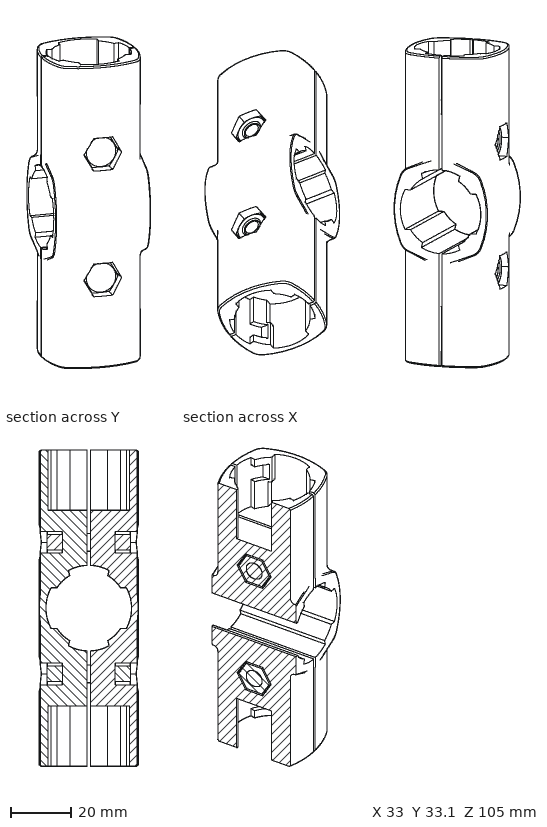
import cadquery as cq
import math


TUBE_LENGTH = 105.0
WIDTH = 33.0
BRANCH_LENGTH = 33.1
SPLIT_GAP = 1.0
TUBE_CHAMFER = 0.5
BRANCH_CHAMFER = 0.3

SIDE_RADIUS = 30.0
CORNER_RADIUS = 5.0
SEAM_FILLET = 2.0

BORE_RADIUS = 14.2
RIB_RADIUS = 12.5
RIB_SIDE = 6.7
RIB_TOE = 6.3
SOCKET_DEPTH = 20.0

WINDOW_TOP = 2.9
WINDOW_BOTTOM = 8.9
WINDOW_WALL = 10.1
STEP_TOP = 10.0
STEP_WIDTH = 1.0

BOLT_HEIGHT = 21.8
BOLT_DIAMETER = 6.0
TIP_CHAMFER = 0.5
TIP_SINK = 0.3
HEX_FLATS = 10.5
HEX_THICKNESS = 5.0
HEX_FACE_DIAMETER = 10.2
BEVEL_ANGLE = 30.0
NUT_SINK_DIAMETER = 6.9
POCKET_FLATS = 11.3
HEX_SINK = 2.6

CROWN = WIDTH / 2
TUBE_END = TUBE_LENGTH / 2
HEX_FACE = CROWN - HEX_SINK
HEX_SEAT = HEX_FACE - HEX_THICKNESS
BOLT_LEVELS = [BOLT_HEIGHT, -BOLT_HEIGHT]
COS_30 = math.cos(math.pi / 6)
SEAM_TOLERANCE = 0.001


def quarter_turns(point):
    """The point turned clockwise about the origin into all four quarters."""
    x, y = point
    return [(x, y), (y, -x), (-x, -y), (-y, x)]


def outer_prism(plane, length):
    """Prism with four crowned sides joined by tangent corner arcs, centred on the plane."""
    side_centre = CROWN - SIDE_RADIUS
    centre_distance = SIDE_RADIUS - CORNER_RADIUS
    corner_centre = (side_centre + math.sqrt(2 * centre_distance**2 - side_centre**2)) / 2
    angle = math.atan2(corner_centre, corner_centre - side_centre)
    tangent_x = SIDE_RADIUS * math.sin(angle)
    tangent_y = side_centre + SIDE_RADIUS * math.cos(angle)
    corner_middle = corner_centre + CORNER_RADIUS * math.sqrt(0.5)

    crowns = quarter_turns((0, CROWN))
    side_ends = quarter_turns((tangent_x, tangent_y))
    corners = quarter_turns((corner_middle, corner_middle))
    corner_ends = quarter_turns((tangent_y, tangent_x))

    outline = cq.Workplane(plane).moveTo(-tangent_x, tangent_y)
    for crown, side_end, corner, corner_end in zip(crowns, side_ends, corners, corner_ends):
        outline = outline.threePointArc(crown, side_end).threePointArc(corner, corner_end)
    return outline.close().extrude(length / 2, both=True)


def is_seam(edge):
    """True for an edge along which the tube and branch surfaces cross."""
    points = [edge.positionAt(t) for t in (0.1, 0.5, 0.9)]
    return all(abs(abs(p.y) - abs(p.z)) < SEAM_TOLERANCE < abs(p.y) for p in points)


def outer_cross():
    """Solid tube and branch with filleted seams and chamfered ends."""
    branch = outer_prism("XZ", BRANCH_LENGTH + 4 * SEAM_FILLET)
    cross = outer_prism("XY", TUBE_LENGTH).union(branch)
    seams = [edge for edge in cross.edges().vals() if is_seam(edge)]
    cross = cross.newObject(seams).fillet(SEAM_FILLET)
    cross = cross.intersect(cq.Workplane().box(2 * WIDTH, BRANCH_LENGTH, TUBE_LENGTH))
    cross = cross.faces("<Z or >Z").chamfer(TUBE_CHAMFER)
    return cross.faces("<Y or >Y").chamfer(BRANCH_CHAMFER)


def ribbed_bore(plane, length):
    """Bore core with the four diagonal ribs left out of it, rising from the plane."""
    toe_height = math.sqrt(RIB_RADIUS**2 - RIB_TOE**2)
    root_height = math.sqrt(BORE_RADIUS**2 - RIB_SIDE**2)
    flank = [(RIB_TOE, toe_height), (RIB_SIDE, root_height), (RIB_SIDE, BORE_RADIUS)]
    right_side = [(x, -y) for x, y in reversed(flank)] + flank
    left_side = [(-x, -y) for x, y in right_side]

    channels = plane.polyline(right_side + left_side).close().extrude(length)
    channels = channels.union(plane.rect(2 * BORE_RADIUS, 2 * RIB_SIDE).extrude(length))
    full_bore = plane.circle(BORE_RADIUS).extrude(length)
    core = plane.circle(RIB_RADIUS).extrude(length)
    return full_bore.intersect(channels).union(core)


def socket():
    """Blind ribbed bore in the upper tube end, with the lock in its +X +Y rib."""
    floor = TUBE_END - SOCKET_DEPTH
    floor_plane = cq.Workplane("XY", origin=(0, 0, floor))
    lock_reach = floor_plane.circle(BORE_RADIUS).extrude(SOCKET_DEPTH)

    window = cq.Workplane().box(WINDOW_WALL, BORE_RADIUS, WINDOW_BOTTOM - WINDOW_TOP, centered=False)
    window = window.translate((0, 0, TUBE_END - WINDOW_BOTTOM))
    step = cq.Workplane().box(BORE_RADIUS, RIB_SIDE + STEP_WIDTH, SOCKET_DEPTH - STEP_TOP, centered=False)
    step = step.translate((0, 0, floor))

    lock = lock_reach.intersect(window.union(step))
    return ribbed_bore(floor_plane, SOCKET_DEPTH).union(lock)


def hex_along_x(flats, start, end, level):
    plane = cq.Workplane("YZ", origin=(start, 0, level))
    return plane.polygon(6, flats / COS_30).extrude(end - start)


def rod_along_x(diameter, start, end, level):
    plane = cq.Workplane("YZ", origin=(start, 0, level))
    return plane.circle(diameter / 2).extrude(end - start)


def connector():
    """Hollow cross with pockets and holes for the bolts, before it is split."""
    branch_start = cq.Workplane("XZ", origin=(0, BRANCH_LENGTH / 2, 0))
    body = outer_cross().cut(ribbed_bore(branch_start, BRANCH_LENGTH))

    upper_socket = socket()
    body = body.cut(upper_socket).cut(upper_socket.mirror("XY"))

    for level in BOLT_LEVELS:
        body = body.cut(rod_along_x(BOLT_DIAMETER, -HEX_SEAT, HEX_SEAT, level))
        body = body.cut(hex_along_x(POCKET_FLATS, -WIDTH, -HEX_SEAT, level))
        body = body.cut(hex_along_x(POCKET_FLATS, HEX_SEAT, WIDTH, level))
    return body


def half_shell(body, side):
    """The part of the connector on one side of the split; side is -1 or 1 along X."""
    half_space = cq.Workplane().box(WIDTH, 2 * BRANCH_LENGTH, 2 * TUBE_LENGTH)
    return body.intersect(half_space.translate((side * (WIDTH + SPLIT_GAP) / 2, 0, 0)))


def bevelled_hex(level):
    """Hexagon seated in the +X pocket, its outer corners bevelled to a round face."""
    body = hex_along_x(HEX_FLATS, HEX_SEAT, HEX_FACE, level)
    bevel_width = (HEX_FLATS / COS_30 - HEX_FACE_DIAMETER) / 2
    bevel_depth = bevel_width * math.tan(math.radians(BEVEL_ANGLE))
    blank = rod_along_x(HEX_FLATS / COS_30, HEX_SEAT, HEX_FACE, level)
    blank = blank.faces(">X").chamfer(bevel_depth, bevel_width)
    return body.intersect(blank)


def nut(level):
    """Hexagon nut in the -X pocket, countersunk on its outer face."""
    body = bevelled_hex(level).mirror("YZ")
    body = body.cut(rod_along_x(BOLT_DIAMETER, -HEX_FACE, -HEX_SEAT, level))
    mouth = cq.selectors.RadiusNthSelector(0)
    return body.faces("<X").edges(mouth).chamfer((NUT_SINK_DIAMETER - BOLT_DIAMETER) / 2)


def bolt(level):
    """Bolt with its hexagon head in the +X pocket and its tip inside the nut."""
    shank = rod_along_x(BOLT_DIAMETER, TIP_SINK - HEX_FACE, HEX_SEAT, level)
    shank = shank.faces("<X").chamfer(TIP_CHAMFER)
    return shank.union(bevelled_hex(level))


whole_connector = connector()
shells = [half_shell(whole_connector, side).val() for side in (-1, 1)]
nuts = [nut(level).val() for level in BOLT_LEVELS]
bolts = [bolt(level).val() for level in BOLT_LEVELS]

result = cq.Compound.makeCompound([*shells, *nuts, *bolts])